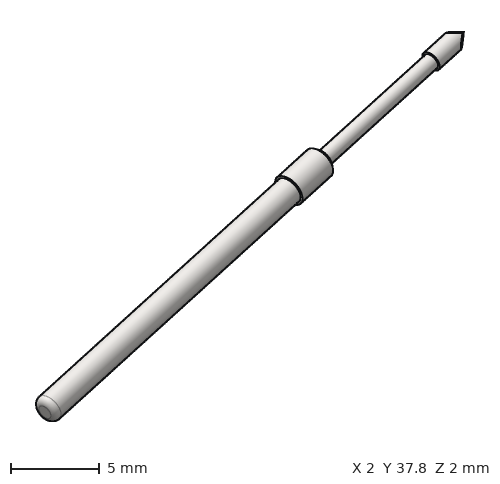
import cadquery as cq
import math

length = 37.8

barrel_diameter = 1.7
collar_diameter = 2.0
plunger_diameter = 1.02
head_diameter = 1.3

collar_start = 22.0
collar_end = 25.0
head_start = 34.8

barrel_end_rounding = 0.4
collar_chamfer = 0.23

facet_count = 3
facet_slope_angle = 30.0
first_facet_angle = 120.0


def cylinder_along_y(diameter, start, end):
    """Solid cylinder on the Y axis between two Y positions."""
    plane = cq.Plane(origin=(0, start, 0), xDir=(1, 0, 0), normal=(0, 1, 0))
    return cq.Workplane(plane).circle(diameter / 2).extrude(end - start)


def pointed_head():
    """Head cylinder cut by equal sloped facets that meet at a point on the axis."""
    facet_depth = head_diameter / math.tan(math.radians(facet_slope_angle))
    facet_waste = (
        cq.Workplane("XY")
        .moveTo(0, length)
        .lineTo(head_diameter, length)
        .lineTo(head_diameter, length - facet_depth)
        .close()
        .extrude(head_diameter, both=True)
    )
    head = cylinder_along_y(head_diameter, head_start, length)
    for index in range(facet_count):
        facing_angle = first_facet_angle + index * 360 / facet_count
        head = head.cut(facet_waste.rotate((0, 0, 0), (0, 1, 0), -facing_angle))
    return head


barrel = cylinder_along_y(barrel_diameter, 0, collar_start).faces("<Y").edges().fillet(barrel_end_rounding)
collar = cylinder_along_y(collar_diameter, collar_start, collar_end).faces(">Y").edges().chamfer(collar_chamfer)
plunger = cylinder_along_y(plunger_diameter, collar_end, head_start)

result = barrel.union(collar).union(plunger).union(pointed_head())